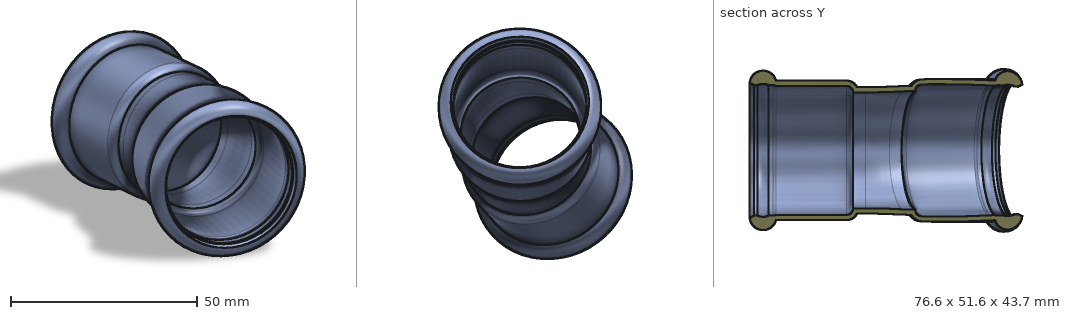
import cadquery as cq
import math

bend_angle = 15.0
bend_radius = 40.6
arm_length = 31.2

tube_outer_radius = 35.0 / 2
tube_bore_radius = 32.0 / 2
socket_outer_radius = 38.4 / 2
socket_bore_radius = 35.4 / 2
socket_length = 26.05

bead_outer_radius = 43.7 / 2
bead_round = 3.7
mouth_radius = 37.1 / 2
land_radius = 35.8 / 2
lead_in_end = 1.2
groove_start = 2.2
groove_depth = 0.3
land_end = 6.4
taper_end = 7.2

bead_center_radius = bead_outer_radius - bead_round

shoulder_center_radius = tube_bore_radius
shoulder_radius = socket_outer_radius - shoulder_center_radius
inner_shoulder_radius = socket_bore_radius - shoulder_center_radius


def arc_reach(radius, height):
    """Distance along the axis at which an arc has risen by height off its center."""
    return math.sqrt(radius**2 - height**2)


def shoulder_middle(radius):
    """Point halfway round a shoulder arc, as (axial depth, radius)."""
    diagonal = radius * math.sqrt(0.5)
    return socket_length + diagonal, shoulder_center_radius + diagonal


def arm_outside():
    """Solid envelope of one arm; mouth face at x = 0, body toward +X."""
    shoulder_end = socket_length + arc_reach(shoulder_radius, tube_outer_radius - shoulder_center_radius)
    bead_end = bead_round + arc_reach(bead_round, socket_outer_radius - bead_center_radius)
    profile = (
        cq.Workplane("XY")
        .lineTo(0, bead_center_radius)
        .threePointArc((bead_round, bead_outer_radius), (bead_end, socket_outer_radius))
        .lineTo(socket_length, socket_outer_radius)
        .threePointArc(shoulder_middle(shoulder_radius), (shoulder_end, tube_outer_radius))
        .lineTo(arm_length, tube_outer_radius)
        .lineTo(arm_length, 0)
        .close()
    )
    return profile.revolve(360, (0, 0, 0), (1, 0, 0))


def arm_inside():
    """Hollow of one arm, in the same position as its envelope."""
    groove_end = 2 * bead_round - groove_start
    inner_shoulder_end = socket_length + inner_shoulder_radius
    profile = (
        cq.Workplane("XY")
        .lineTo(0, mouth_radius)
        .lineTo(lead_in_end, land_radius)
        .lineTo(groove_start, land_radius)
        .threePointArc((bead_round, land_radius + groove_depth), (groove_end, land_radius))
        .lineTo(land_end, land_radius)
        .lineTo(taper_end, socket_bore_radius)
        .lineTo(socket_length, socket_bore_radius)
        .threePointArc(shoulder_middle(inner_shoulder_radius), (inner_shoulder_end, tube_bore_radius))
        .lineTo(arm_length, tube_bore_radius)
        .lineTo(arm_length, 0)
        .close()
    )
    return profile.revolve(360, (0, 0, 0), (1, 0, 0))


def bend(radius):
    """Curved rod from the origin toward -X, turning toward -Y."""
    return (
        cq.Workplane("YZ")
        .circle(radius)
        .revolve(bend_angle, (-bend_radius, 0, 0), (-bend_radius, 1, 0))
    )


def both_arms(arm):
    """Place one arm at each end of the bend."""
    right = arm.rotate((0, 0, 0), (0, 0, 1), 180).translate((arm_length, 0, 0))
    left = (
        arm.translate((-arm_length, 0, 0))
        .rotate((0, -bend_radius, 0), (0, -bend_radius, 1), bend_angle)
    )
    return right.union(left)


outside = both_arms(arm_outside()).union(bend(tube_outer_radius))
inside = both_arms(arm_inside()).union(bend(tube_bore_radius))
result = outside.cut(inside)